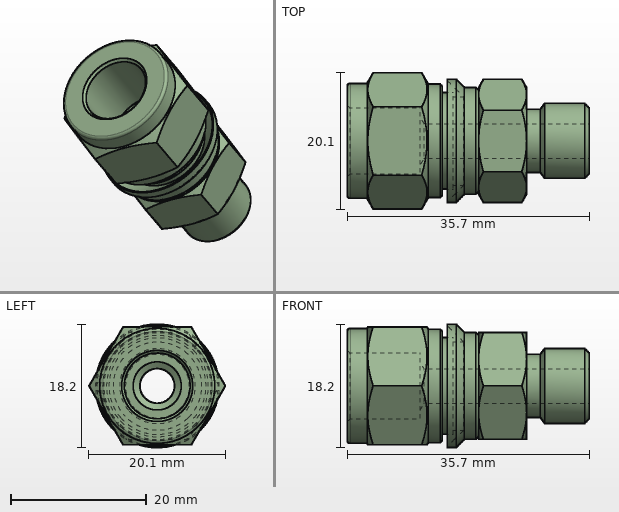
import cadquery as cq
import math

length = 35.72

nut_front_diameter = 17.0
nut_front_fillet = 0.43
nut_rear_diameter = 16.8
nut_rear_chamfer = 0.32
nut_flats = 17.43
nut_hex_start = 2.93
nut_hex_end = 11.95
nut_end = 14.05

neck_diameter = 14.3
neck_end = 15.57
dish_root_diameter = 13.05
flange_diameter = 18.25
flange_start = 14.75
flange_cone_start = 16.07
dish_diameter = 17.85
shoulder_diameter = 15.8
shoulder_chamfer = 0.4

body_flats = shoulder_diameter
body_hex_start = 19.4
body_hex_end = 26.47

relief_diameter = 9.4
thread_diameter = 11.1
thread_start = 28.5
thread_lead_in = 0.65
thread_tip_diameter = 9.7

tube_diameter = 9.7
tube_depth = 10.7
tube_mouth_chamfer = 0.4
bore_diameter = 5.07
countersink_diameter = 7.1
countersink_angle = 118.0

corner_angle = 30.0


def revolve_profile(points):
    """Revolve (x, radius) points, closed along the axis, about X."""
    profile = [(points[0][0], 0)] + points + [(points[-1][0], 0)]
    return cq.Workplane("XY").polyline(profile).close().revolve(360, (0, 0, 0), (1, 0, 0))


def cylinder(start, end, diameter):
    return cq.Workplane("YZ", origin=(start, 0, 0)).circle(diameter / 2).extrude(end - start)


def chamfered_hexagon(start, end, flats, front_diameter, rear_diameter):
    """Hexagon with corners along Y, turned conically from the two end-face diameters."""
    corners = flats / math.cos(math.radians(30))
    slope = math.tan(math.radians(corner_angle))
    front_cut = (corners - front_diameter) / 2 * slope
    rear_cut = (corners - rear_diameter) / 2 * slope
    prism = cq.Workplane("YZ", origin=(start, 0, 0)).polygon(6, corners).extrude(end - start)
    envelope = revolve_profile([
        (start, front_diameter / 2),
        (start + front_cut, corners / 2),
        (end - rear_cut, corners / 2),
        (end, rear_diameter / 2),
    ])
    return prism.intersect(envelope)


def make_nut():
    front = cylinder(0, nut_hex_start, nut_front_diameter).faces("<X").edges().fillet(nut_front_fillet)
    hexagon = chamfered_hexagon(
        nut_hex_start, nut_hex_end, nut_flats, nut_front_diameter, nut_rear_diameter
    )
    rear = cylinder(nut_hex_end, nut_end, nut_rear_diameter)
    rear = rear.faces(">X").edges().chamfer(nut_rear_chamfer)
    return front.union(hexagon).union(rear)


def make_body():
    shoulder_start = flange_cone_start + (flange_diameter - shoulder_diameter) / 2
    dish_bottom = flange_start + (dish_diameter - dish_root_diameter) / 2
    flange = revolve_profile([
        (nut_end, neck_diameter / 2),
        (neck_end, neck_diameter / 2),
        (neck_end, dish_root_diameter / 2),
        (dish_bottom, dish_root_diameter / 2),
        (flange_start, dish_diameter / 2),
        (flange_start, flange_diameter / 2),
        (flange_cone_start, flange_diameter / 2),
        (shoulder_start, shoulder_diameter / 2),
        (body_hex_start - shoulder_chamfer, shoulder_diameter / 2),
        (body_hex_start, shoulder_diameter / 2 - shoulder_chamfer),
    ])
    hexagon = chamfered_hexagon(
        body_hex_start, body_hex_end, body_flats, body_flats, body_flats
    )
    return flange.union(hexagon)


def make_threaded_end():
    tip_chamfer = (thread_diameter - thread_tip_diameter) / 2
    return revolve_profile([
        (body_hex_end, relief_diameter / 2),
        (thread_start, relief_diameter / 2),
        (thread_start + thread_lead_in, thread_diameter / 2),
        (length - tip_chamfer, thread_diameter / 2),
        (length, thread_tip_diameter / 2),
    ])


def make_bores():
    countersink_depth = (countersink_diameter - bore_diameter) / 2
    countersink_depth /= math.tan(math.radians(countersink_angle / 2))
    return revolve_profile([
        (0, tube_diameter / 2 + tube_mouth_chamfer),
        (tube_mouth_chamfer, tube_diameter / 2),
        (tube_depth, tube_diameter / 2),
        (tube_depth, countersink_diameter / 2),
        (tube_depth + countersink_depth, bore_diameter / 2),
        (length, bore_diameter / 2),
    ])


result = make_nut().union(make_body()).union(make_threaded_end()).cut(make_bores())